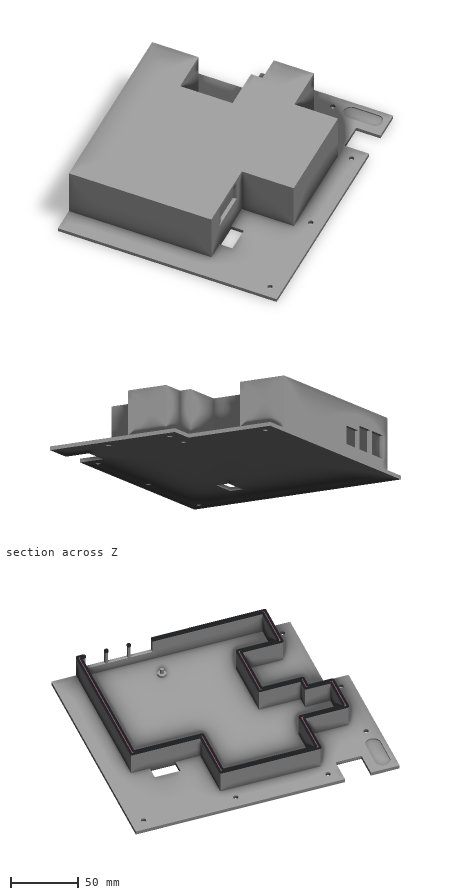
import cadquery as cq

plate_width = 179.0
plate_depth = 210.0
total_height = 43.0
sheet = 3.0
lid_bottom = total_height - sheet

tab_left = 70.8
tab_length = 20.0
plate_step = plate_depth - tab_length
notch_front = 166.5
notch_length = 20.5
notch_depth = 20.0

box_front = 19.7
box_rear = plate_step
box_right = plate_width - notch_depth
front_block_right = 116.5
front_block_rear = 74.8
right_block_rear = 154.5
neck_left = 90.3
neck_right = 123.3
shoulder = 169.9
recess_left = 38.0
recess_right = 80.8
recess_front = 136.7

screw_hole_diameter = 4.0
screw_inset = 9.9
tab_screw_x = (80.8, 134.0)
tab_screw_y = plate_depth - screw_inset
side_screw_x = plate_width - screw_inset
side_screw_last_y = 156.7

slot_length = 31.5
slot_width = 11.8
slot_depth = 1.0
slot_x = 159.0

plate_opening_front = 34.6
plate_opening_length = 20.4
plate_opening_width = 10.5
wall_opening_front = plate_opening_front
wall_opening_length = 30.7
wall_opening_bottom = 22.7

window_bottom = 10.0
windows = ((26.0, 16.0, 18.0), (44.0, 16.0, 18.0), (62.0, 17.5, 14.0))

standoff_diameter = 6.7
standoff_height = 1.9
pin_diameter = 2.7
pin_height = 4.0
standoff_x = 22.0
standoff_y = 79.8


def enclosure_outline():
    """Closed outline shared by the walls and the lid."""
    return cq.Workplane("XY").polyline([
        (0, box_front),
        (front_block_right, box_front),
        (front_block_right, front_block_rear),
        (box_right, front_block_rear),
        (box_right, right_block_rear),
        (neck_right, right_block_rear),
        (neck_right, box_rear),
        (neck_left, box_rear),
        (neck_left, shoulder),
        (recess_right, shoulder),
        (recess_right, recess_front),
        (recess_left, recess_front),
        (recess_left, shoulder),
        (0, shoulder),
    ]).close()


def make_plate():
    plate = cq.Workplane("XY").polyline([
        (0, 0),
        (plate_width, 0),
        (plate_width, notch_front),
        (box_right, notch_front),
        (box_right, notch_front + notch_length),
        (plate_width, notch_front + notch_length),
        (plate_width, plate_depth),
        (tab_left, plate_depth),
        (tab_left, plate_step),
        (0, plate_step),
    ]).close().extrude(sheet)

    screw_points = [(x, tab_screw_y) for x in tab_screw_x]
    screw_points += [(x, plate_step - screw_inset) for x in (screw_inset, tab_screw_x[0])]
    side_screw_middle_y = (screw_inset + side_screw_last_y) / 2
    screw_points += [(side_screw_x, y) for y in (screw_inset, side_screw_middle_y, side_screw_last_y)]
    holes = cq.Workplane("XY").pushPoints(screw_points).circle(screw_hole_diameter / 2).extrude(sheet)

    slot = (
        cq.Workplane("XY", origin=(slot_x, tab_screw_y, sheet - slot_depth))
        .slot2D(slot_length, slot_width)
        .extrude(slot_depth)
    )
    opening = cq.Workplane("XY").box(
        plate_opening_width, plate_opening_length, sheet, centered=False
    ).translate((front_block_right, plate_opening_front, 0))
    return plate.cut(holes).cut(slot).cut(opening)


def make_walls():
    outer = enclosure_outline().extrude(lid_bottom)
    inner = enclosure_outline().offset2D(-sheet, "intersection").extrude(lid_bottom)
    walls = outer.cut(inner)

    for front, length, height in windows:
        window = cq.Workplane("XY").box(sheet, length, height, centered=False)
        walls = walls.cut(window.translate((0, front, window_bottom)))

    opening = cq.Workplane("XY").box(
        sheet, wall_opening_length, lid_bottom - wall_opening_bottom, centered=False
    )
    return walls.cut(opening.translate((front_block_right - sheet, wall_opening_front, wall_opening_bottom)))


def make_standoff():
    base = cq.Workplane("XY").circle(standoff_diameter / 2).extrude(standoff_height)
    pin = cq.Workplane("XY").circle(pin_diameter / 2).extrude(standoff_height + pin_height)
    return base.union(pin).translate((standoff_x, standoff_y, sheet))


def make_housing():
    return make_plate().union(make_walls()).union(make_standoff())


def make_lid():
    return enclosure_outline().extrude(sheet).translate((0, 0, lid_bottom))


housing = make_housing()
lid = make_lid()

result = cq.Compound.makeCompound([housing.val(), lid.val()])